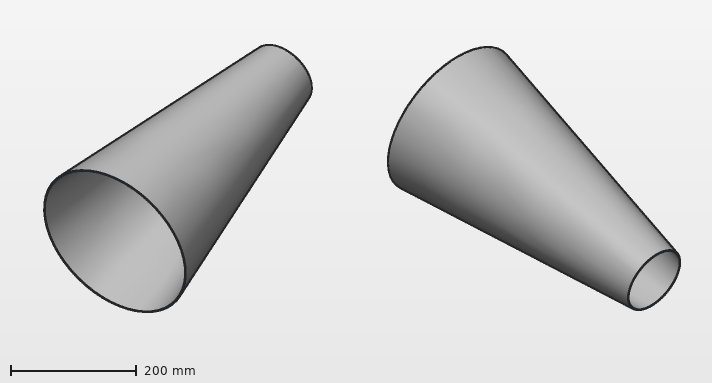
import cadquery as cq

length = 476.0
wide_diameter = 273.0
narrow_diameter = 114.2
wall = 2.0

wide_radius = wide_diameter / 2
narrow_radius = narrow_diameter / 2
wide_y = -length / 2
narrow_y = length / 2

wall_section = (
    cq.Workplane("YZ")
    .moveTo(wide_y, wide_radius)
    .lineTo(narrow_y, narrow_radius)
    .lineTo(narrow_y, narrow_radius - wall)
    .lineTo(wide_y, wide_radius - wall)
    .close()
)

result = wall_section.revolve(360, (0, 0, 0), (1, 0, 0))